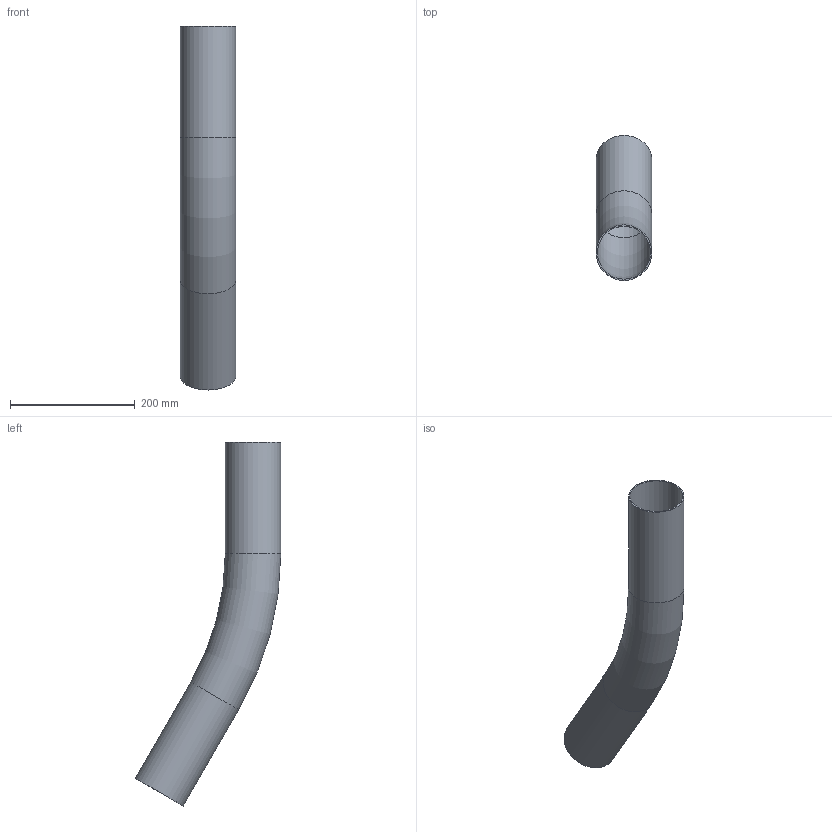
import cadquery as cq
import math

outer_diameter = 88.9
inner_diameter = 84.68

bend_angle = 30.0
bend_radius = 457.2
leg_length = 2 * outer_diameter


def pipe_ring(origin, normal):
    """Annular pipe section, centred on origin and facing along normal."""
    plane = cq.Plane(origin=origin, xDir=(1, 0, 0), normal=normal)
    return cq.Workplane(plane).circle(outer_diameter / 2).circle(inner_diameter / 2)


def straight_leg(start, direction):
    """Straight pipe running from start along direction."""
    return pipe_ring(start, direction).extrude(leg_length)


def bend():
    """Pipe elbow that starts at the origin heading down and turns toward +Y."""
    return pipe_ring((0, 0, 0), (0, 0, -1)).revolve(
        bend_angle, (0, -bend_radius, 0), (1, -bend_radius, 0)
    )


turn = math.radians(bend_angle)
bend_end = (0, bend_radius * (1 - math.cos(turn)), -bend_radius * math.sin(turn))
lower_direction = (0, math.sin(turn), -math.cos(turn))

upper_leg = straight_leg((0, 0, 0), (0, 0, 1))
lower_leg = straight_leg(bend_end, lower_direction)

result = upper_leg.union(bend()).union(lower_leg)